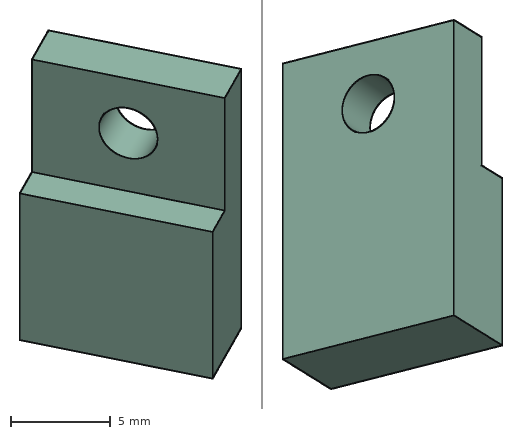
import cadquery as cq

width = 10.2
depth = 4.5
height = 16.15

body_height = 9.14
tab_thickness = 2.6
tab_height = height - body_height

hole_diameter = 3.1
hole_drop = 3.39


def make_body():
    """Lower body, centred in X and Y and resting on Z = 0."""
    return cq.Workplane("XY").box(width, depth, body_height, centered=(True, True, False))


def make_tab():
    """Thin tab on top of the body, flush with its +Y face."""
    tab_center_y = (depth - tab_thickness) / 2
    return (
        cq.Workplane("XY", origin=(0, tab_center_y, body_height))
        .box(width, tab_thickness, tab_height, centered=(True, True, False))
    )


def make_hole():
    """Cylinder along Y that cuts the mounting hole through the tab."""
    return (
        cq.Workplane("XZ", origin=(0, depth / 2, height - hole_drop))
        .circle(hole_diameter / 2)
        .extrude(depth)
    )


result = make_body().union(make_tab()).cut(make_hole())